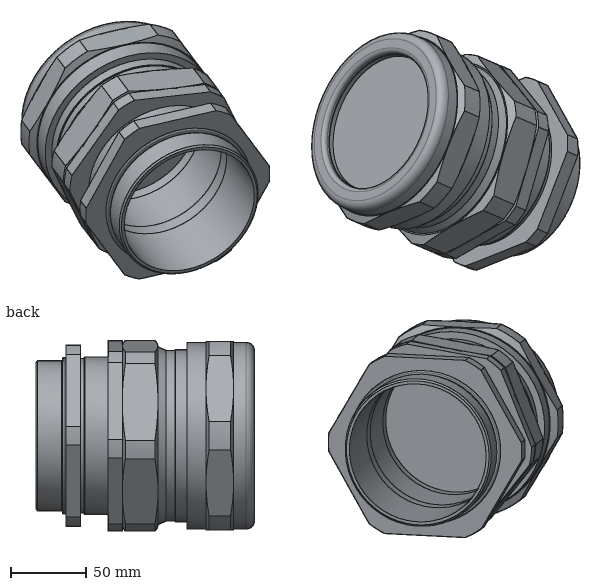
import cadquery as cq
import math


cap_hex_start = 13.9
cap_hex_end = 32.2
cap_end = 45.0
sleeve_end = 52.9
cone_start = 58.9
nut_hex_start = 64.1
nut_hex_end = 87.7
flange_end = 97.2
collar_end = 113.1
locknut_start = 115.3
locknut_end = 125.1
washer_end = 127.3
thread_start = 127.5
gland_end = 145.0

cap_flats = 125.0
cap_corners = 134.8
nut_flats = 120.0
nut_corners = 132.1
nut_turn = -8.0
flange_turn = -7.5
hex_chamfer = 2.0

cap_radius = 61.9
sleeve_radius = 57.1
nut_neck_radius = 56.7
cone_end_radius = 59.0
collar_radius = 52.3
neck_radius = 51.3
washer_radius = 51.9
thread_radius = 49.9
shank_radius = 49.2
seat_radius = 52.2
entry_radius = 47.1
bore_radius = 46.7

cap_round = 5.7
entry_round = 2.9
insert_start = 4.6
plug_start = 8.1
small_chamfer = 0.6
washer_round = 0.9
thread_lead_in = thread_radius - shank_radius
thread_end_chamfer = 1.2


def tube(start, end, outer, inner):
    """Plain ring around the X axis."""
    return cq.Workplane("YZ", origin=(start, 0, 0)).circle(outer).circle(inner).extrude(end - start)


def cylinder(start, end, radius):
    """Solid cylinder on the X axis."""
    return cq.Workplane("YZ", origin=(start, 0, 0)).circle(radius).extrude(end - start)


def revolve(points):
    """Solid of revolution from (X, radius) points that start and end on the X axis."""
    return cq.Workplane("XY").polyline(points).close().revolve(360, (0, 0, 0), (1, 0, 0))


def hexagon(start, end, flats, corners, turn=0.0, chamfer=0.0):
    """Hexagonal prism with cylindrical corners; the chamfer runs from the flats to the corners."""
    prism = (
        cq.Workplane("YZ", origin=(start, 0, 0))
        .polygon(6, flats / math.cos(math.pi / 6))
        .extrude(end - start)
        .rotate((0, 0, 0), (1, 0, 0), turn)
    )
    corner_radius = corners / 2
    if not chamfer:
        return prism.intersect(cylinder(start, end, corner_radius))
    face_radius = flats / 2
    envelope = revolve([
        (start, 0),
        (start, face_radius),
        (start + chamfer, corner_radius),
        (end - chamfer, corner_radius),
        (end, face_radius),
        (end, 0),
    ])
    return prism.intersect(envelope)


def make_cap_nut():
    """Domed cap with a wrench hexagon and a rounded cable entry."""
    barrel = cylinder(0, cap_end, cap_radius).faces("<X").edges().fillet(cap_round)
    wrench = hexagon(cap_hex_start, cap_hex_end, cap_flats, cap_corners, chamfer=hex_chamfer)
    cap = barrel.union(wrench).cut(cylinder(0, insert_start, entry_radius))
    cap = cap.faces("<X").edges(cq.selectors.RadiusNthSelector(0)).fillet(entry_round)
    return cap.cut(cylinder(insert_start, cap_end, seat_radius))


def make_insert():
    """Sealing sleeve seated inside the cap."""
    return tube(insert_start, cap_end, seat_radius, bore_radius)


def make_plug():
    """Blanking plug that fills the sealing sleeve behind its recessed face."""
    return cylinder(plug_start, cap_end, bore_radius)


def make_sleeve():
    """Short collar between the cap and the middle nut."""
    ring = cylinder(cap_end, sleeve_end, sleeve_radius).faces(">X").edges().chamfer(small_chamfer)
    return ring.cut(cylinder(cap_end, sleeve_end, bore_radius))


def make_middle_nut():
    """Chamfered hexagon nut with a flared round neck."""
    neck = revolve([
        (sleeve_end, 0),
        (sleeve_end, nut_neck_radius),
        (cone_start, nut_neck_radius),
        (nut_hex_start, cone_end_radius),
        (nut_hex_start, 0),
    ])
    wrench = hexagon(nut_hex_start, nut_hex_end, nut_flats, nut_corners, nut_turn, hex_chamfer)
    return neck.union(wrench).cut(cylinder(sleeve_end, nut_hex_end, bore_radius))


def make_flange():
    """Plain hexagonal flange behind the middle nut."""
    plate = hexagon(nut_hex_end, flange_end, nut_flats, nut_corners, flange_turn)
    return plate.cut(cylinder(nut_hex_end, flange_end, bore_radius))


def make_threaded_tube():
    """Collar, neck and shank that end in the mounting thread, smooth at its major diameter."""
    outside = revolve([
        (flange_end, 0),
        (flange_end, collar_radius),
        (collar_end - small_chamfer, collar_radius),
        (collar_end, collar_radius - small_chamfer),
        (collar_end, neck_radius),
        (locknut_start, neck_radius),
        (locknut_start, shank_radius),
        (thread_start, shank_radius),
        (thread_start + thread_lead_in, thread_radius),
        (gland_end - thread_end_chamfer, thread_radius),
        (gland_end, thread_radius - thread_end_chamfer),
        (gland_end, 0),
    ])
    return outside.cut(cylinder(flange_end, gland_end, bore_radius))


def make_locknut():
    """Thin hexagonal locknut on the shank."""
    plate = hexagon(locknut_start, locknut_end, nut_flats, nut_corners)
    return plate.cut(cylinder(locknut_start, locknut_end, shank_radius))


def make_washer():
    """Sealing washer with rounded rims beside the locknut."""
    disc = cylinder(locknut_end, washer_end, washer_radius).edges().fillet(washer_round)
    return disc.cut(cylinder(locknut_end, washer_end, shank_radius))


cap_nut = make_cap_nut()
insert = make_insert()
plug = make_plug()
sleeve = make_sleeve()
middle_nut = make_middle_nut()
flange = make_flange()
threaded_tube = make_threaded_tube()
locknut = make_locknut()
washer = make_washer()

result = cq.Compound.makeCompound([
    cap_nut.val(),
    insert.val(),
    plug.val(),
    sleeve.val(),
    middle_nut.val(),
    flange.val(),
    threaded_tube.val(),
    locknut.val(),
    washer.val(),
])